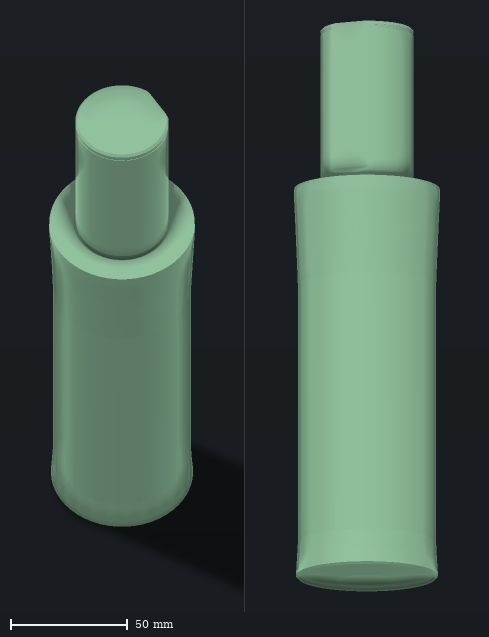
import cadquery as cq

total_height = 241.0
housing_height = 171.0

body_diameter = 59.3
rim_diameter = 62.5
rim_height = 5.3
taper_bottom_z = 129.0
base_diameter = 61.0
base_top_z = 16.6
base_edge_z = 2.2
base_edge_chamfer = 1.0
underside_edge_z = base_edge_z - base_edge_chamfer
foot_diameter = 24.0
mouth_diameter = 41.5

rod_diameter = 40.0
seat_diameter = 38.5
seat_depth = 2.0
shoulder_z = housing_height + 1.2
shoulder_chamfer = (rod_diameter - seat_diameter) / 2
top_chamfer = 1.0
groove_diameter = 39.5
groove_width = 1.5
groove_top_z = total_height - 1.7
flat_offset = 17.8
flat_bottom_z = housing_height + 3.5
flat_runout = rod_diameter / 2 - flat_offset

seat_z = housing_height - seat_depth
mouth_depth = (mouth_diameter - seat_diameter) / 2


def revolve_profile(profile):
    """Turn a closed radius-height profile around the Z axis."""
    return profile.close().revolve(360, (0, 0, 0), (0, 1, 0))


def make_housing():
    """Turned housing with a plain rim, tapered head, flared base and shallow conical underside."""
    base_radius = base_diameter / 2
    rim_bottom_z = housing_height - rim_height
    profile = (
        cq.Workplane("XZ")
        .moveTo(0, 0)
        .lineTo(foot_diameter / 2, 0)
        .lineTo(base_radius - base_edge_chamfer, underside_edge_z)
        .lineTo(base_radius, base_edge_z)
        .lineTo(body_diameter / 2, base_top_z)
        .lineTo(body_diameter / 2, taper_bottom_z)
        .lineTo(rim_diameter / 2, rim_bottom_z)
        .lineTo(rim_diameter / 2, housing_height)
        .lineTo(mouth_diameter / 2, housing_height)
        .lineTo(seat_diameter / 2, housing_height - mouth_depth)
        .lineTo(seat_diameter / 2, seat_z)
        .lineTo(0, seat_z)
    )
    return revolve_profile(profile)


def make_round_rod():
    """Turned rod with a seated neck, chamfered ends and a shallow groove near the top."""
    rod_radius = rod_diameter / 2
    groove_bottom_z = groove_top_z - groove_width
    profile = (
        cq.Workplane("XZ")
        .moveTo(0, seat_z)
        .lineTo(seat_diameter / 2, seat_z)
        .lineTo(seat_diameter / 2, shoulder_z)
        .lineTo(rod_radius, shoulder_z + shoulder_chamfer)
        .lineTo(rod_radius, groove_bottom_z)
        .lineTo(groove_diameter / 2, groove_bottom_z)
        .lineTo(groove_diameter / 2, groove_top_z)
        .lineTo(rod_radius, groove_top_z)
        .lineTo(rod_radius, total_height - top_chamfer)
        .lineTo(rod_radius - top_chamfer, total_height)
        .lineTo(0, total_height)
    )
    return revolve_profile(profile)


def make_flat_cutter():
    """Block that leaves a flat on the +Y side, with a 45 degree run-out at its lower end."""
    return (
        cq.Workplane("YZ")
        .moveTo(flat_offset, total_height)
        .lineTo(flat_offset, flat_bottom_z + flat_runout)
        .lineTo(rod_diameter / 2, flat_bottom_z)
        .lineTo(rod_diameter, flat_bottom_z)
        .lineTo(rod_diameter, total_height)
        .close()
        .extrude(rod_diameter / 2, both=True)
    )


housing = make_housing()
rod = make_round_rod().cut(make_flat_cutter())

result = cq.Compound.makeCompound([housing.val(), rod.val()])